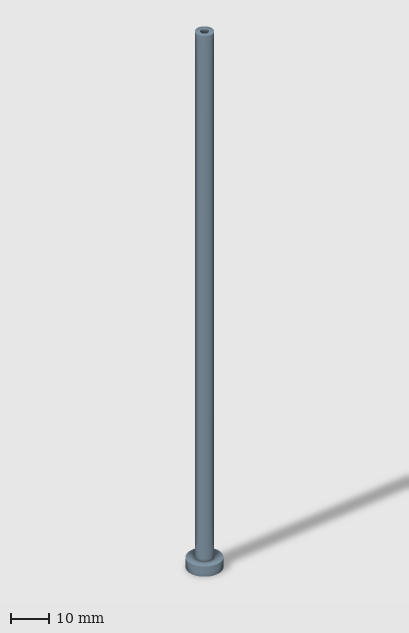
import cadquery as cq

total_length = 163
head_diameter = 10.0
head_height = 3.1
shank_diameter = 5.0
bore_diameter = 2.5

head = cq.Workplane("XY").circle(head_diameter / 2).extrude(head_height)
shank = cq.Workplane("XY").circle(shank_diameter / 2).extrude(total_length)

bore = cq.Workplane("XY").circle(bore_diameter / 2).extrude(total_length)

result = head.union(shank).cut(bore)